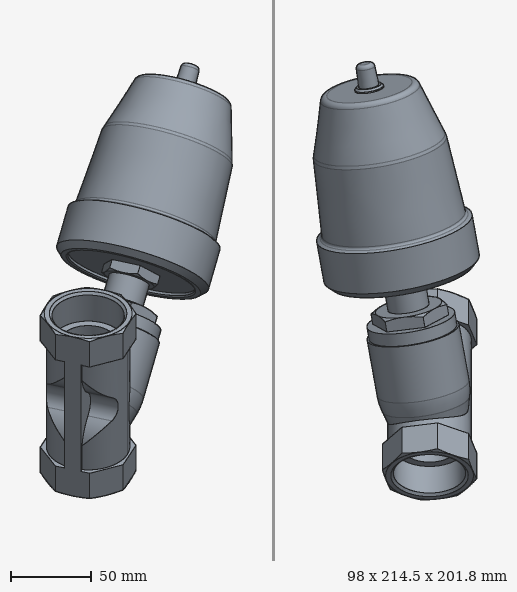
import cadquery as cq
import math


pipe_length = 120.0
pipe_diameter = 52.0
bore_diameter = 35.0
collar_flats = 55.0
collar_height = 20.0
collar_chamfer_diameter = 54.5
collar_chamfer_angle = 20
socket_diameter = 44.8
socket_depth = 21.2
socket_chamfer = 1.6
rib_width = 11.0

pinch_height = 62.5
pinch_half_span = 30.0
pinch_valley_y = -10.3
seat_wall = 3.0
pipe_radius = pipe_diameter / 2
valley_radius = (
    (pinch_half_span**2 + pinch_valley_y**2 - pipe_radius**2) / (2 * (pipe_radius + pinch_valley_y))
)
valley_centre_y = pinch_valley_y - valley_radius

tilt = 40
axis_height = 38.0

boss_radius = 58.0 / 2
boss_round_start = 23.8
boss_round_end = 13.7
boss_round_radius = 38.6
boss_top = 60.5
shoulder_radius = 27.7
shoulder_top = 68.6
bonnet_flats = 41.8
bonnet_top = 76.8
neck_radius = 26.0 / 2
lock_nut_flats = 32.2
lock_nut_bottom = 94.2
nut_chamfer_angle = 25

band_radius = 98.0 / 2
band_bottom = 98.2
band_top = 128.7
band_bottom_chamfer = 4.0
band_ledge = 129.8
band_ledge_radius = 46.5
ledge_hollow = 0.32
body_base = 131.7
body_base_radius = 45.3
waist = 181.3
waist_radius = 42.0
cap_base = 183.5
cap_base_radius = 41.5
cap_edge = 217.0
cap_edge_radius = 31.3
cap_top = 219.9
cap_top_radius = 26.8
edge_bulge = 1.0
recess_radius = 81.7 / 2
recess_depth = 2.5
recess_chamfer = 0.9

flange_radius = 18.2 / 2
flange_height = 2.1
flange_chamfer = 1.3
pin_base_radius = 6.5
pin_tip_radius = 5.8
pin_tip_fillet = 2.8
pin_top = 236.5



def cylinder(radius, bottom, top):
    return cq.Workplane("XY").workplane(offset=bottom).circle(radius).extrude(top - bottom)


def polygon_prism(sides, flats, bottom, top):
    """Regular prism along Z with one pair of flats square to Y."""
    corner_diameter = flats / math.cos(math.pi / sides)
    prism = cq.Workplane("XY").polygon(sides, corner_diameter).extrude(top - bottom)
    turn = 180 / sides if sides % 4 == 0 else 0
    return prism.rotate((0, 0, 0), (0, 0, 1), turn).translate((0, 0, bottom))


def corner_cone(face_radius, angle, face, height, upward):
    """Cone that starts at face_radius on the face and widens into the prism."""
    spread = height / math.tan(math.radians(angle))
    direction = -1 if upward else 1
    outline = [(0, face), (face_radius, face),
               (face_radius + spread, face + direction * height), (0, face + direction * height)]
    return cq.Workplane("XZ").polyline(outline).close().revolve(360, (0, 0), (0, 1))


def chamfered_prism(sides, flats, bottom, top, face_diameter, angle, upward):
    """Prism whose corners are turned off at one face, the top one if upward."""
    face = top if upward else bottom
    cone = corner_cone(face_diameter / 2, angle, face, top - bottom, upward)
    return polygon_prism(sides, flats, bottom, top).intersect(cone)


def pinch():
    """Bar along X that scoops the -Y side: two bends of pipe radius joined by a valley."""
    low = pinch_height - pinch_half_span
    high = pinch_height + pinch_half_span
    share = pipe_radius / (pipe_radius + valley_radius)
    tangent_y = valley_centre_y * share
    tangent_rise = pinch_half_span * share
    tangent_angle = math.atan2(-valley_centre_y, pinch_half_span)
    mid_angle = (tangent_angle + math.pi / 2) / 2
    mid_y = -pipe_radius * math.sin(mid_angle)
    mid_rise = pipe_radius * math.cos(mid_angle)
    return (
        cq.Workplane("YZ")
        .moveTo(-collar_flats, low)
        .lineTo(-pipe_radius, low)
        .threePointArc((mid_y, low + mid_rise), (tangent_y, low + tangent_rise))
        .threePointArc((pinch_valley_y, pinch_height), (tangent_y, high - tangent_rise))
        .threePointArc((mid_y, high - mid_rise), (-pipe_radius, high))
        .lineTo(-collar_flats, high)
        .close()
        .extrude(pipe_diameter, both=True)
    )


def seat_ridge():
    """Round bar along X that carries the valley wall into the bore."""
    return (
        cq.Workplane("YZ")
        .center(valley_centre_y, pinch_height)
        .circle(valley_radius + seat_wall)
        .extrude(pipe_diameter, both=True)
    )


def on_tilted_axis(shape):
    return shape.rotate((0, 0, 0), (1, 0, 0), tilt - 90).translate((0, 0, axis_height))


def pipe_outside():
    pipe = cylinder(pipe_radius, 0, pipe_length)
    for bottom, upward in ((0, False), (pipe_length - collar_height, True)):
        collar = chamfered_prism(8, collar_flats, bottom, bottom + collar_height,
                                 collar_chamfer_diameter, collar_chamfer_angle, upward)
        pipe = pipe.union(collar)
    return pipe


def rib():
    depth = collar_flats / 2
    plate = cq.Workplane("XY").box(rib_width, depth, pipe_length - collar_height,
                                   centered=(True, False, True))
    return plate.translate((0, -depth, pipe_length / 2))


def passage():
    """Bore with a chamfered socket at each end, narrowed by the ridge."""
    bore = cylinder(bore_diameter / 2, 0, pipe_length)
    bore = bore.cut(seat_ridge())
    socket_radius = socket_diameter / 2
    socket = cylinder(socket_radius, 0, socket_depth)
    mouth = (
        cq.Workplane("XY")
        .circle(socket_radius + socket_chamfer)
        .workplane(offset=socket_chamfer)
        .circle(socket_radius)
        .loft()
    )
    socket = socket.union(mouth)
    upper_socket = socket.mirror("XY").translate((0, 0, pipe_length))
    return bore.union(socket).union(upper_socket)


def branch():
    """Boss that grows out of the pipe, with its shoulder ring."""
    run = boss_round_start - boss_round_end
    slope = math.asin(run / boss_round_radius)
    round_end_radius = boss_radius - boss_round_radius * (1 - math.cos(slope))
    round_mid_radius = boss_radius - boss_round_radius * (1 - math.cos(slope / 2))
    round_mid = boss_round_start - boss_round_radius * math.sin(slope / 2)
    root_radius = round_end_radius - boss_round_end * math.tan(slope)
    return (
        cq.Workplane("XZ")
        .moveTo(0, 0)
        .lineTo(root_radius, 0)
        .lineTo(round_end_radius, boss_round_end)
        .threePointArc((round_mid_radius, round_mid), (boss_radius, boss_round_start))
        .lineTo(boss_radius, boss_top)
        .lineTo(shoulder_radius, boss_top)
        .lineTo(shoulder_radius, shoulder_top)
        .lineTo(0, shoulder_top)
        .close()
        .revolve(360, (0, 0), (0, 1))
    )


def bonnet():
    recess_floor = band_bottom + recess_depth
    nut = chamfered_prism(6, bonnet_flats, shoulder_top, bonnet_top, bonnet_flats, nut_chamfer_angle, True)
    lock_nut = chamfered_prism(6, lock_nut_flats, lock_nut_bottom, recess_floor,
                               lock_nut_flats, nut_chamfer_angle, False)
    return nut.union(cylinder(neck_radius, shoulder_top, recess_floor)).union(lock_nut)


def actuator():
    band_floor_radius = band_radius - band_bottom_chamfer
    recess_floor = band_bottom + recess_depth
    hollow_radius = (band_ledge_radius + body_base_radius) / 2 - ledge_hollow
    hollow_height = (band_ledge + body_base) / 2 - ledge_hollow
    chord = math.hypot(cap_edge_radius - cap_top_radius, cap_top - cap_edge)
    bow_radius = (cap_edge_radius + cap_top_radius) / 2 + edge_bulge * (cap_top - cap_edge) / chord
    bow_height = (cap_edge + cap_top) / 2 + edge_bulge * (cap_edge_radius - cap_top_radius) / chord
    return (
        cq.Workplane("XZ")
        .moveTo(0, recess_floor)
        .lineTo(recess_radius, recess_floor)
        .lineTo(recess_radius, band_bottom + recess_chamfer)
        .lineTo(recess_radius + recess_chamfer, band_bottom)
        .lineTo(band_floor_radius, band_bottom)
        .lineTo(band_radius, band_bottom + band_bottom_chamfer)
        .lineTo(band_radius, band_top)
        .lineTo(band_ledge_radius, band_ledge)
        .threePointArc((hollow_radius, hollow_height), (body_base_radius, body_base))
        .lineTo(waist_radius, waist)
        .lineTo(cap_base_radius, cap_base)
        .lineTo(cap_edge_radius, cap_edge)
        .threePointArc((bow_radius, bow_height), (cap_top_radius, cap_top))
        .lineTo(0, cap_top)
        .close()
        .revolve(360, (0, 0), (0, 1))
    )


def indicator_pin():
    flange = cylinder(flange_radius, cap_top, cap_top + flange_height).faces(">Z").chamfer(flange_chamfer)
    pin = (
        cq.Workplane("XY")
        .workplane(offset=cap_top)
        .circle(pin_base_radius)
        .workplane(offset=pin_top - cap_top)
        .circle(pin_tip_radius)
        .loft()
        .faces(">Z")
        .edges()
        .fillet(pin_tip_fillet)
    )
    return flange.union(pin)


body = pipe_outside().union(on_tilted_axis(branch()))
body = body.cut(pinch()).union(rib())
body = body.cut(passage())

result = body.union(on_tilted_axis(bonnet().union(actuator()).union(indicator_pin())))